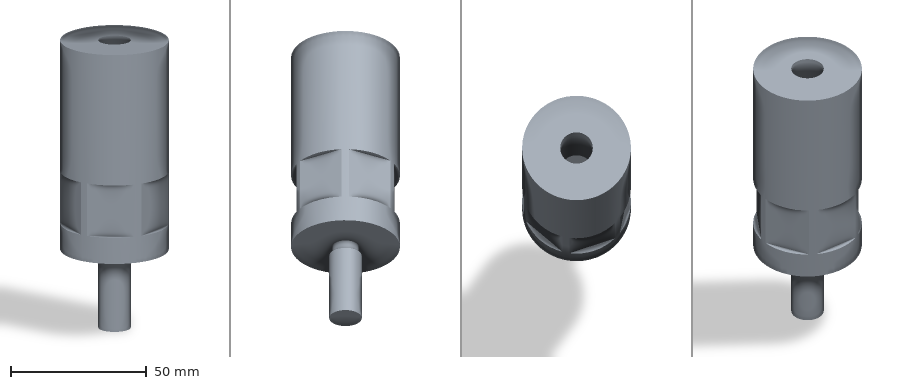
import cadquery as cq

total_length = 110.0
body_diameter = 40.0

stud_diameter = 12.0
stud_length = 30.0
neck_diameter = 9.8
neck_length = 3.7

flat_count = 6
across_flats = 36.0
flat_height = 20.0
collar_height = 10.0

bore_diameter = stud_diameter
bore_depth = stud_length

body_length = total_length - stud_length


def cylinder(diameter, bottom, height):
    """Upright cylinder on the part axis."""
    return cq.Workplane("XY").workplane(offset=bottom).circle(diameter / 2).extrude(height)


def wrench_flat_cutter(angle):
    """Block that cuts one flat, facing the given angle from +X."""
    cut_depth = (body_diameter - across_flats) / 2
    return (
        cq.Workplane("XY")
        .box(2 * cut_depth, body_diameter, flat_height, centered=(False, True, False))
        .translate((across_flats / 2, 0, stud_length + collar_height))
        .rotate((0, 0, 0), (0, 0, 1), angle)
    )


stud = cylinder(stud_diameter, 0, stud_length - neck_length)
neck = cylinder(neck_diameter, stud_length - neck_length, neck_length)
body = cylinder(body_diameter, stud_length, body_length)
result = body.union(neck).union(stud)

result = result.cut(cylinder(bore_diameter, total_length - bore_depth, bore_depth))

for index in range(flat_count):
    result = result.cut(wrench_flat_cutter(index * 360 / flat_count))